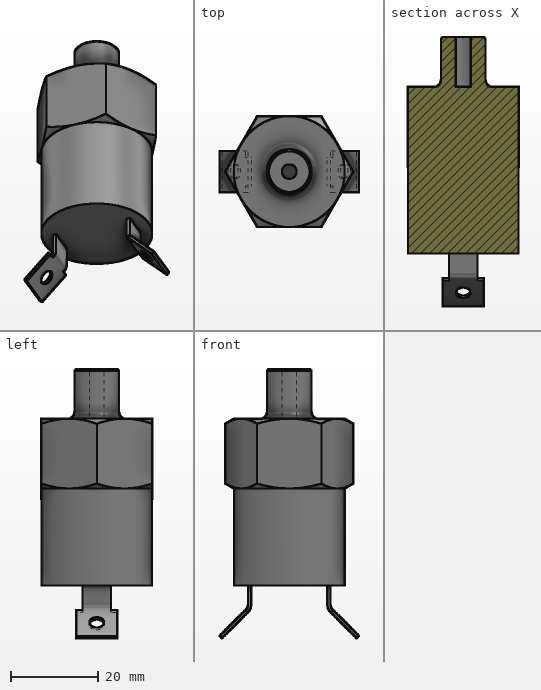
import cadquery as cq
import math

body_diameter = 25.4
body_height = 22.2
hex_height = 15.95
hex_chamfer_angle = 30.0
stub_diameter = 10.3
stub_height = 11.4
stub_chamfer = 0.5
stub_fillet = 1.55
bore_diameter = 3.3

terminal_thickness = 0.8
terminal_inner_x = 8.7
terminal_reach = 15.95
terminal_drop = 12.1
bend_inner_radius = 1.25
bend_angle = 45.0
neck_width = 6.5
blade_width = 9.5
shoulder_offset = 0.25
hole_to_tip = 4.4
blade_hole_diameter = 3.3

body_radius = body_diameter / 2
hex_corner_diameter = body_diameter / math.cos(math.pi / 6)
hex_top = body_height + hex_height
stub_top = hex_top + stub_height


def make_hex():
    """Hexagon with its corners turned off by a shallow cone at both ends."""
    corner_radius = hex_corner_diameter / 2
    corner_drop = (corner_radius - body_radius) * math.tan(math.radians(hex_chamfer_angle))
    prism = cq.Workplane("XY").workplane(offset=body_height).polygon(6, hex_corner_diameter).extrude(hex_height)
    turned_envelope = (
        cq.Workplane("XZ")
        .moveTo(0, body_height)
        .lineTo(body_radius, body_height)
        .lineTo(corner_radius, body_height + corner_drop)
        .lineTo(corner_radius, hex_top - corner_drop)
        .lineTo(body_radius, hex_top)
        .lineTo(0, hex_top)
        .close()
        .revolve(360, (0, 0), (0, 1))
    )
    return prism.intersect(turned_envelope)


def make_stub():
    """Round stub with a chamfered tip and a concave flare at its base."""
    radius = stub_diameter / 2
    flare_mid = stub_fillet * (1 - math.sqrt(0.5))
    return (
        cq.Workplane("XZ")
        .moveTo(0, hex_top)
        .lineTo(radius + stub_fillet, hex_top)
        .threePointArc((radius + flare_mid, hex_top + flare_mid), (radius, hex_top + stub_fillet))
        .lineTo(radius, stub_top - stub_chamfer)
        .lineTo(radius - stub_chamfer, stub_top)
        .lineTo(0, stub_top)
        .close()
        .revolve(360, (0, 0), (0, 1))
    )


def make_terminal():
    """Terminal on the +X side: narrow neck, bend, and a wider blade with a hole."""
    angle = math.radians(bend_angle)
    sin_bend = math.sin(angle)
    cos_bend = math.cos(angle)
    outer_radius = bend_inner_radius + terminal_thickness
    bend_center_x = terminal_inner_x + outer_radius

    tip_x = terminal_reach - terminal_thickness * sin_bend
    bend_end_x = bend_center_x - outer_radius * cos_bend
    slope_length = (tip_x - bend_end_x) / sin_bend
    bend_end_z = -terminal_drop + slope_length * cos_bend
    bend_start_z = bend_end_z + outer_radius * sin_bend

    def bend_point(radius, turn):
        return (bend_center_x - radius * math.cos(turn), bend_start_z - radius * math.sin(turn))

    neck = (
        cq.Workplane("XZ")
        .moveTo(terminal_inner_x, 0)
        .lineTo(terminal_inner_x, bend_start_z)
        .threePointArc(bend_point(outer_radius, angle / 2), bend_point(outer_radius, angle))
        .lineTo(*bend_point(bend_inner_radius, angle))
        .threePointArc(
            bend_point(bend_inner_radius, angle / 2),
            (terminal_inner_x + terminal_thickness, bend_start_z),
        )
        .lineTo(terminal_inner_x + terminal_thickness, 0)
        .close()
        .extrude(neck_width / 2, both=True)
    )

    slope_plane = cq.Plane(
        origin=(bend_end_x, 0, bend_end_z),
        xDir=(sin_bend, 0, -cos_bend),
        normal=(cos_bend, 0, sin_bend),
    )
    sloped_neck = (
        cq.Workplane(slope_plane)
        .center(slope_length / 2, 0)
        .rect(slope_length, neck_width)
        .extrude(terminal_thickness)
    )
    blade_length = slope_length - shoulder_offset
    blade = (
        cq.Workplane(slope_plane)
        .center(shoulder_offset + blade_length / 2, 0)
        .rect(blade_length, blade_width)
        .extrude(terminal_thickness)
    )
    hole = (
        cq.Workplane(slope_plane)
        .center(slope_length - hole_to_tip, 0)
        .circle(blade_hole_diameter / 2)
        .extrude(terminal_thickness)
    )
    return neck.union(sloped_neck).union(blade).cut(hole)


body = cq.Workplane("XY").circle(body_radius).extrude(body_height)
bore = cq.Workplane("XY").workplane(offset=hex_top).circle(bore_diameter / 2).extrude(stub_height)
terminal = make_terminal()

result = (
    body.union(make_hex())
    .union(make_stub())
    .cut(bore)
    .union(terminal)
    .union(terminal.mirror("YZ"))
)